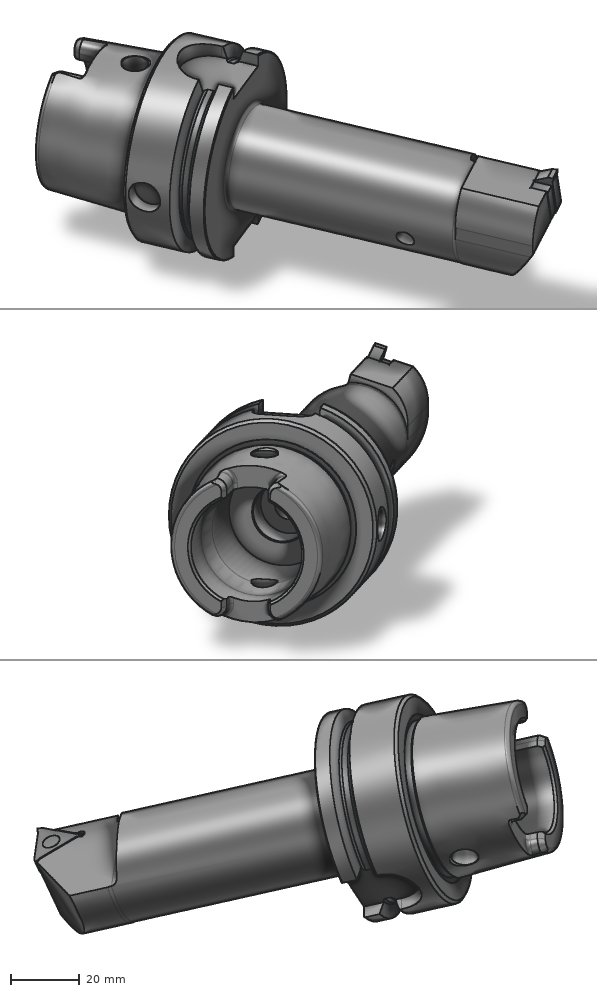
import cadquery as cq
import math


taper_end_radius = 22.9
taper_base_radius = 24.3
taper_length = 29.7
taper_edge_round = 1.3
relief_radius = 23.7
face_recess_radius = 25.4
face_recess_depth = 0.6

bore_radius = 16.8
bore_straight_length = 12.5
bore_floor_radius = 15.7
bore_cone_end_x = 21.5
bore_depth = 42.4
bore_chamfer = 0.8
thread_hole_radius = 8.5
thread_hole_depth = 9.4
thread_hole_chamfer = 0.3
coolant_hole_radius = 4.2
coolant_cone_depth = 2.5

slot_half_width = 6.3
upper_slot_depth = 10.0
lower_slot_depth = 5.5
slot_floor_fillet = 1.1
slot_mouth_length = 2.0
slot_mouth_angle = 30.0
slot_flare_start = 17.7
slot_flare_radius = 3.3

cross_hole_x = 22.5
cross_hole_radius = 4.0
cross_hole_sink_radius = 4.7
cross_hole_sink_depth = 0.8

flange_x = 31.7
flange_end_x = 57.7
flange_radius = 31.5
flange_front_chamfer = 1.0
flange_rear_chamfer = 0.3
groove_left_x = 46.6
groove_right_x = 52.9
groove_floor_radius = 27.3
groove_shoulder_radius = 27.6
groove_shoulder_inset = 1.4
groove_floor_inset = 2.2

keyway_half_width = 9.3
keyway_floor_height = 26.2
keyway_start_x = 36.7

side_hole_x = 38.6
side_hole_radius = 5.0
side_hole_depth = 4.5

bar_radius = 16.0
bar_end_x = 130.0
bar_root_fillet = 1.1

bar_hole_x = 114.9
bar_hole_radius = 2.8
bar_hole_depth = 7.8
bar_hole_cone_depth = 1.5
bar_hole_angle = 17.5

tilt = 15.0
head_x = 131.2
head_end_x = 155.8
head_radius = 16.2
head_flat_height = 4.1
head_upper_arc_radius = 14.9
head_top_height = 17.7
head_top_left = -7.2
rake_height = 6.0
ramp_start_x = 125.5
ramp_foot_x = 128.2
ramp_fillet = 2.4
nose_start_x = 142.6
nose_start_height = -15.8
nose_end_height = 5.0

insert_inradius = 4.7
insert_overhang = 0.7
insert_centre_height = 12.9
insert_top = 5.6
insert_thickness = 3.6
tip_reach = 0.4
tip_flat = 1.33
tip_height = 0.5
tip_width = 1.0
tip_flank = 0.8
pocket_relief_radius = 1.3
shim_thickness = 3.1
shim_inset = 0.5
shim_crown_height = 17.0
screw_head_radius = 2.7
screw_radius = 1.5
screw_head_depth = 1.5
screw_end = -4.7

insert_centre_x = head_end_x + insert_overhang - insert_inradius
insert_bottom = insert_top - insert_thickness
pocket_floor = insert_bottom - shim_thickness
cut_reach = 3 * flange_radius
cut_margin = 1.5


def tilted(shape):
    """Turn a shape from the tilted frame, where the rake normal is +Y, into place."""
    return shape.rotate((0, 0, 0), (1, 0, 0), tilt)


def tilted_point(y, z):
    """Place a section point of the tilted frame into the Y-Z section."""
    angle = math.radians(tilt)
    return (
        y * math.cos(angle) - z * math.sin(angle),
        y * math.sin(angle) + z * math.cos(angle),
    )


def plate(outline, top, bottom):
    """Plate in the tilted frame between two heights along the rake normal."""
    plane = cq.Plane(origin=(0, top, 0), xDir=(1, 0, 0), normal=(0, -1, 0))
    return cq.Workplane(plane).polyline(outline).close().extrude(top - bottom)


def revolved(outline):
    """Turn a closed outline of (x, radius) points about the tool axis."""
    return cq.Workplane("XY").polyline(outline).close().revolve(360, (0, 0, 0), (1, 0, 0))


def turned_body():
    relief_x = taper_length + taper_base_radius - relief_radius
    recess_x = flange_x + face_recess_depth
    root_x = flange_end_x + bar_root_fillet
    profile = (
        cq.Workplane("XY")
        .moveTo(0, 0)
        .lineTo(0, taper_end_radius - taper_edge_round)
        .radiusArc((taper_edge_round, taper_end_radius), taper_edge_round)
        .lineTo(taper_length, taper_base_radius)
        .lineTo(relief_x, relief_radius)
        .lineTo(recess_x, relief_radius)
        .lineTo(recess_x, face_recess_radius)
        .lineTo(flange_x, face_recess_radius)
        .lineTo(flange_x, flange_radius - flange_front_chamfer)
        .lineTo(flange_x + flange_front_chamfer, flange_radius)
        .lineTo(groove_left_x, flange_radius)
        .lineTo(groove_left_x + groove_shoulder_inset, groove_shoulder_radius)
        .lineTo(groove_left_x + groove_floor_inset, groove_floor_radius)
        .lineTo(groove_right_x - groove_floor_inset, groove_floor_radius)
        .lineTo(groove_right_x - groove_shoulder_inset, groove_shoulder_radius)
        .lineTo(groove_right_x, flange_radius)
        .lineTo(flange_end_x - flange_rear_chamfer, flange_radius)
        .lineTo(flange_end_x, flange_radius - flange_rear_chamfer)
        .lineTo(flange_end_x, bar_radius + bar_root_fillet)
        .radiusArc((root_x, bar_radius), -bar_root_fillet)
        .lineTo(bar_end_x, bar_radius)
        .lineTo(head_x, head_radius)
        .lineTo(head_x, 0)
        .close()
    )
    return profile.revolve(360, (0, 0, 0), (1, 0, 0))


def bore():
    thread_floor = bore_depth + thread_hole_depth
    return revolved([
        (0, 0),
        (0, bore_radius + bore_chamfer),
        (bore_chamfer, bore_radius),
        (bore_straight_length, bore_radius),
        (bore_cone_end_x, bore_floor_radius),
        (bore_depth, bore_floor_radius),
        (bore_depth, thread_hole_radius + thread_hole_chamfer),
        (bore_depth + thread_hole_chamfer, thread_hole_radius),
        (thread_floor, thread_hole_radius),
        (thread_floor, coolant_hole_radius),
        (thread_floor + coolant_cone_depth, 0),
    ])


def slot_section():
    """Closed section of a drive slot: straight walls that round outwards near the taper surface."""
    side = taper_base_radius
    flare_half_width = slot_half_width + slot_flare_radius
    flare_end = slot_flare_start + slot_flare_radius
    return (
        cq.Workplane("YZ")
        .moveTo(slot_half_width, 0)
        .lineTo(slot_half_width, slot_flare_start)
        .radiusArc((flare_half_width, flare_end), slot_flare_radius)
        .lineTo(side, flare_end)
        .lineTo(side, side + slot_flare_radius)
        .lineTo(-side, side + slot_flare_radius)
        .lineTo(-side, flare_end)
        .lineTo(-flare_half_width, flare_end)
        .radiusArc((-slot_half_width, slot_flare_start), slot_flare_radius)
        .lineTo(-slot_half_width, 0)
        .close()
    )


def drive_slot(depth):
    """Slot cutter at +Z with a chamfered mouth and a rounded floor."""
    slot = slot_section().extrude(depth).faces(">X").edges().fillet(slot_floor_fillet)
    mouth_reach = slot_mouth_length * math.tan(math.radians(slot_mouth_angle))
    mouth = slot_section().offset2D(mouth_reach).extrude(slot_mouth_length, taper=slot_mouth_angle)
    return slot.union(mouth)


def cross_hole():
    """Hole through both walls of the taper, countersunk at each end."""
    top = taper_base_radius
    sink_floor = top - cross_hole_sink_depth
    hole = (
        cq.Workplane("XZ")
        .polyline([
            (0, -top),
            (cross_hole_sink_radius, -top),
            (cross_hole_radius, -sink_floor),
            (cross_hole_radius, sink_floor),
            (cross_hole_sink_radius, top),
            (0, top),
        ])
        .close()
        .revolve(360, (0, 0, 0), (0, 1, 0))
    )
    return hole.translate((cross_hole_x, 0, 0))


def keyway():
    """Keyway cutter at +Z: rounded start, open towards the bar."""
    arc_centre_x = keyway_start_x + keyway_half_width
    depth = flange_radius - keyway_floor_height
    return (
        cq.Workplane("XY", origin=(0, 0, keyway_floor_height))
        .moveTo(flange_end_x, -keyway_half_width)
        .lineTo(arc_centre_x, -keyway_half_width)
        .threePointArc((keyway_start_x, 0), (arc_centre_x, keyway_half_width))
        .lineTo(flange_end_x, keyway_half_width)
        .close()
        .extrude(depth)
    )


def side_hole():
    return (
        cq.Workplane("XZ", origin=(side_hole_x, side_hole_depth - flange_radius, 0))
        .circle(side_hole_radius)
        .extrude(side_hole_depth)
    )


def bar_hole():
    """Drilled hole with a conical end, leaning below the -Y direction."""
    floor = bar_radius - bar_hole_depth
    hole = (
        cq.Workplane("XY")
        .polyline([
            (0, -bar_radius - cut_margin),
            (bar_hole_radius, -bar_radius - cut_margin),
            (bar_hole_radius, -floor),
            (0, bar_hole_cone_depth - floor),
        ])
        .close()
        .revolve(360, (0, 0, 0), (0, 1, 0))
    )
    return hole.rotate((0, 0, 0), (1, 0, 0), bar_hole_angle).translate((bar_hole_x, 0, 0))


def head():
    rake_end = tilted_point(rake_height, -math.sqrt(head_radius**2 - rake_height**2))
    rake_top = tilted_point(rake_height, head_top_height)
    top_left = tilted_point(head_top_left, head_top_height)
    lower_middle = (-head_radius / math.sqrt(2), -head_radius / math.sqrt(2))
    return (
        cq.Workplane("YZ", origin=(head_x, 0, 0))
        .moveTo(-head_radius, 0)
        .threePointArc(lower_middle, rake_end)
        .lineTo(*rake_top)
        .lineTo(*top_left)
        .radiusArc((-head_radius, head_flat_height), -head_upper_arc_radius)
        .close()
        .extrude(head_end_x - head_x)
    )


def chip_recess():
    """Ramp down from the bar surface to the rake face, with a fillet at its foot."""
    top = bar_radius + 2 * cut_margin
    slope = (ramp_foot_x - ramp_start_x) / (bar_radius - rake_height)
    outline = [
        (ramp_foot_x, rake_height),
        (head_end_x + cut_margin, rake_height),
        (head_end_x + cut_margin, top),
        (ramp_foot_x - slope * (top - rake_height), top),
    ]
    recess = cq.Workplane("XY").polyline(outline).close().extrude(cut_reach, both=True)
    foot = cq.selectors.NearestToPointSelector((ramp_foot_x, rake_height, 0))
    return tilted(recess.edges("|Z").edges(foot).fillet(ramp_fillet))


def nose_clearance():
    return tilted(plate(
        [
            (nose_start_x, nose_start_height),
            (head_end_x, nose_end_height),
            (head_end_x + cut_margin, nose_end_height),
            (head_end_x + cut_margin, -cut_reach),
            (nose_start_x, -cut_reach),
        ],
        cut_reach,
        -cut_reach,
    ))


def turned_about_insert(x, z, angle):
    """Turn a point, given relative to the insert centre, about that centre."""
    cosine = math.cos(math.radians(angle))
    sine = math.sin(math.radians(angle))
    return (insert_centre_x + x * cosine - z * sine, insert_centre_height + x * sine + z * cosine)


def shim_outline():
    """Equilateral triangle about the insert centre, with one side facing +X."""
    inradius = insert_inradius - shim_inset
    return [turned_about_insert(2 * inradius, 0, angle) for angle in (60, 180, 300)]


def insert_outline():
    """Triangle whose three corners each carry a small cutting tip."""
    corner_x = insert_inradius
    corner_z = insert_inradius * math.sqrt(3)
    tip_start_z = corner_z - tip_flat * math.tan(math.radians(30))
    tip_top_z = corner_z - tip_height
    tip_foot_z = tip_top_z - tip_width
    corner = [
        (corner_x, tip_foot_z - tip_flank),
        (corner_x + tip_reach, tip_foot_z),
        (corner_x + tip_reach, tip_top_z),
        (corner_x - tip_flat, tip_start_z),
    ]
    return [turned_about_insert(x, z, angle) for angle in (0, 120, 240) for x, z in corner]


def insert_pocket():
    """Seat of the insert and shim, with a round relief at its inner corner."""
    seat = plate(insert_outline(), cut_reach, pocket_floor)
    corner_x = insert_centre_x - 2 * insert_inradius
    relief = (
        cq.Workplane("XZ", origin=(corner_x, cut_reach, insert_centre_height))
        .circle(pocket_relief_radius)
        .extrude(cut_reach - pocket_floor)
    )
    return tilted(seat.union(relief))


def screw_body():
    neck = insert_top - screw_head_depth
    return (
        cq.Workplane("XY")
        .polyline([
            (0, screw_end),
            (screw_radius, screw_end),
            (screw_radius, neck),
            (screw_head_radius, insert_top),
            (0, insert_top),
        ])
        .close()
        .revolve(360, (0, 0, 0), (0, 1, 0))
        .translate((insert_centre_x, 0, insert_centre_height))
    )


def make_holder():
    body = turned_body().union(head()).cut(bore())
    upper_slot = drive_slot(upper_slot_depth)
    lower_slot = drive_slot(lower_slot_depth).rotate((0, 0, 0), (1, 0, 0), 180)
    body = body.cut(upper_slot).cut(lower_slot).cut(cross_hole())
    body = body.cut(keyway()).cut(keyway().rotate((0, 0, 0), (1, 0, 0), 180))
    body = body.cut(side_hole()).cut(bar_hole())
    body = body.cut(chip_recess()).cut(nose_clearance()).cut(insert_pocket())
    return body.cut(tilted(screw_body()))


def make_insert():
    return tilted(plate(insert_outline(), insert_top, insert_bottom).cut(screw_body()))


def make_shim():
    shim = plate(shim_outline(), insert_bottom, pocket_floor)
    crown = (
        cq.Workplane("XY", origin=(insert_centre_x, 0, shim_crown_height))
        .rect(cut_reach, cut_reach)
        .extrude(cut_reach)
    )
    return tilted(shim.cut(crown).cut(screw_body()))


holder = make_holder()
insert = make_insert()
shim = make_shim()
screw = tilted(screw_body())

result = cq.Compound.makeCompound([holder.val(), insert.val(), shim.val(), screw.val()])